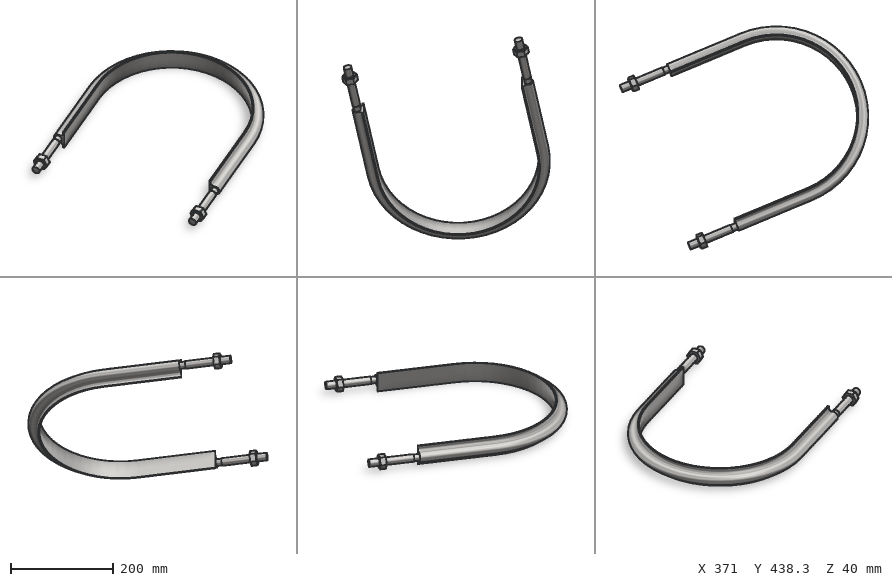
import cadquery as cq

import math

overall_width = 371.02
overall_length = 438.25

nut_across_flats = 26.0
nut_across_corners = nut_across_flats / math.cos(math.pi / 6)
nut_height = 13.0
nut_to_rod_end = 19.5
nut_face_diameter = 24.0
nut_chamfer_angle = 30.0

leg_x = (overall_width - nut_across_corners) / 2
rod_diameter = 13.84
thread_diameter = 15.5

strip_width = 40.0
strip_thickness = 3.0
strip_inner_radius = 158.0
strip_outer_radius = strip_inner_radius + strip_thickness
sleeve_wall = strip_thickness
sleeve_radius = rod_diameter / 2 + sleeve_wall
flare_foot_half_width = 15.5

crown_y = leg_x + sleeve_radius
rod_end_y = crown_y - overall_length
liner_end_y = -156.3
bare_rod_length = 11.5
thread_start_y = liner_end_y - bare_rod_length


def leg_section_plane():
    """Plane across the left leg at the liner's open end."""
    return cq.Workplane("XZ", origin=(0, liner_end_y, 0))


def along_the_bow(section):
    """Carry a section of the left leg up that leg, round the bend and down the right leg."""
    left_leg = section.extrude(liner_end_y)
    end_face = left_leg.faces(">Y").val()
    half_turn = -180
    bend = cq.Solid.revolve(end_face, half_turn, cq.Vector(0, 0, 0), cq.Vector(0, 0, 1))
    return left_leg.union(left_leg.mirror("YZ")).union(cq.Workplane(bend))


def rod_section():
    return leg_section_plane().center(-leg_x, 0).circle(rod_diameter / 2)


def liner_section():
    """Strip with a round sleeve joined to it by a concave flare on each side."""
    edge_z = strip_width / 2

    rod_height = leg_x - strip_outer_radius
    flare_radius = (flare_foot_half_width**2 + rod_height**2 - sleeve_radius**2) / (
        2 * (rod_height + sleeve_radius)
    )
    flare_center_x = -strip_outer_radius - flare_radius
    flare_end_angle = math.atan2(flare_foot_half_width, flare_center_x + leg_x)
    flare_end_x = -leg_x + sleeve_radius * math.cos(flare_end_angle)
    flare_end_z = sleeve_radius * math.sin(flare_end_angle)
    flare_middle_angle = (flare_end_angle - math.pi) / 2
    flare_middle_x = flare_center_x + flare_radius * math.cos(flare_middle_angle)
    flare_middle_z = flare_foot_half_width + flare_radius * math.sin(flare_middle_angle)
    return (
        leg_section_plane()
        .moveTo(-strip_inner_radius, -edge_z)
        .lineTo(-strip_outer_radius, -edge_z)
        .lineTo(-strip_outer_radius, -flare_foot_half_width)
        .threePointArc((flare_middle_x, -flare_middle_z), (flare_end_x, -flare_end_z))
        .threePointArc((-leg_x - sleeve_radius, 0), (flare_end_x, flare_end_z))
        .threePointArc((flare_middle_x, flare_middle_z), (-strip_outer_radius, flare_foot_half_width))
        .lineTo(-strip_outer_radius, edge_z)
        .lineTo(-strip_inner_radius, edge_z)
        .close()
    )


def rod_end(side):
    """Bare length and threaded end that stick out of the liner on one leg."""
    bare = (
        cq.Workplane("XZ", origin=(side * leg_x, liner_end_y, 0))
        .circle(rod_diameter / 2)
        .extrude(bare_rod_length)
    )
    thread = (
        cq.Workplane("XZ", origin=(side * leg_x, thread_start_y, 0))
        .circle(thread_diameter / 2)
        .extrude(thread_start_y - rod_end_y)
    )
    return bare.union(thread)


def make_nut(side):
    """Hexagon nut with its corners chamfered on the face towards the rod's end."""
    outer_face_y = rod_end_y + nut_to_rod_end
    hexagon = (
        cq.Workplane("XZ", origin=(side * leg_x, outer_face_y + nut_height, 0))
        .polygon(6, nut_across_corners)
        .extrude(nut_height)
    )
    face_radius = nut_face_diameter / 2
    cone_base_radius = face_radius + nut_height / math.tan(math.radians(nut_chamfer_angle))
    chamfer_cone = cq.Solid.makeCone(
        face_radius,
        cone_base_radius,
        nut_height,
        cq.Vector(side * leg_x, outer_face_y, 0),
        cq.Vector(0, 1, 0),
    )
    bore = (
        cq.Workplane("XZ", origin=(side * leg_x, outer_face_y + nut_height, 0))
        .circle(thread_diameter / 2)
        .extrude(nut_height)
    )
    return hexagon.intersect(cq.Workplane(chamfer_cone)).cut(bore)


sides = (-1, 1)
bent_rod = along_the_bow(rod_section())
liner = along_the_bow(liner_section()).cut(bent_rod)

rod = bent_rod
for side in sides:
    rod = rod.union(rod_end(side))

nuts = [make_nut(side) for side in sides]

result = cq.Compound.makeCompound([rod.val(), liner.val(), *[nut.val() for nut in nuts]])